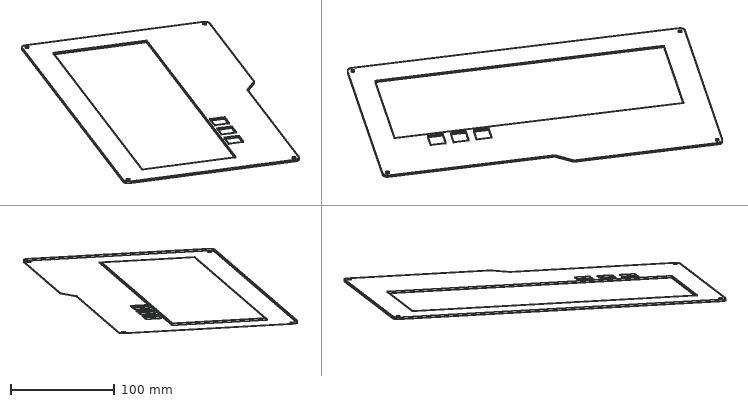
import cadquery as cq

LENGTH = 333.0
DEPTH = 190.0
THICKNESS = 2.0
CORNER_RADIUS = 5.0

STEP_DEPTH = 12.0
SLOPE_START = 147.5
SLOPE_END = 164.0

HOLE_DIAMETER = 3.3
HOLE_INSET = CORNER_RADIUS

WINDOW_LEFT = 25.0
WINDOW_FRONT = 25.0
WINDOW_LENGTH = 285.0
WINDOW_DEPTH = 95.0

OPENING_COUNT = 3
OPENING_SIZE = 15.0
OPENING_PITCH = 22.5
OPENING_LEFT = 217.8
OPENING_GAP = 3.0

low_rear = DEPTH - STEP_DEPTH


def make_plate():
    """Flat plate with its front-left corner at the origin."""
    outline = [
        (0, 0),
        (LENGTH, 0),
        (LENGTH, low_rear),
        (SLOPE_END, low_rear),
        (SLOPE_START, DEPTH),
        (0, DEPTH),
    ]
    plate = cq.Workplane("XY").polyline(outline).close().extrude(THICKNESS)
    outer_corners = plate.edges("|Z and (<X or >X)")
    return outer_corners.fillet(CORNER_RADIUS)


def make_screw_holes():
    right = LENGTH - HOLE_INSET
    centres = [
        (HOLE_INSET, HOLE_INSET),
        (right, HOLE_INSET),
        (right, low_rear - HOLE_INSET),
        (HOLE_INSET, DEPTH - HOLE_INSET),
    ]
    return cq.Workplane("XY").pushPoints(centres).circle(HOLE_DIAMETER / 2).extrude(THICKNESS)


def make_opening(left, front, length, depth):
    """Rectangular through-cutter placed by its front-left corner."""
    return cq.Workplane("XY").box(length, depth, THICKNESS, centered=False).translate((left, front, 0))


result = make_plate().cut(make_screw_holes())
result = result.cut(make_opening(WINDOW_LEFT, WINDOW_FRONT, WINDOW_LENGTH, WINDOW_DEPTH))

opening_front = WINDOW_FRONT + WINDOW_DEPTH + OPENING_GAP
for i in range(OPENING_COUNT):
    opening_left = OPENING_LEFT + i * OPENING_PITCH
    result = result.cut(make_opening(opening_left, opening_front, OPENING_SIZE, OPENING_SIZE))